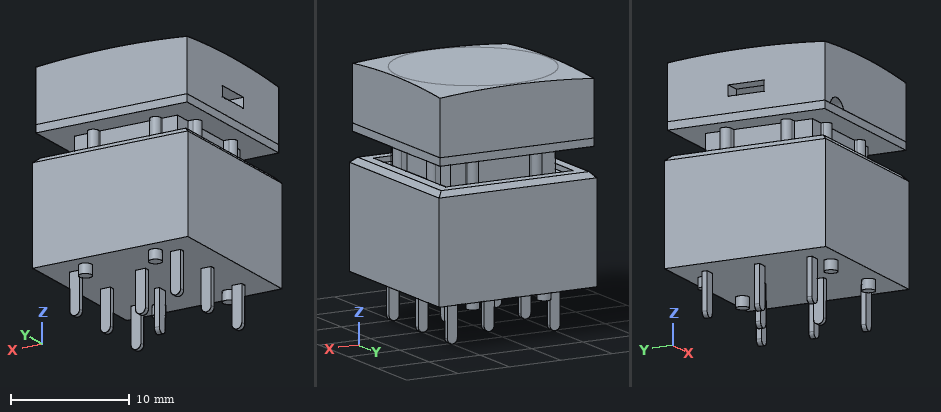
import cadquery as cq
import math

TOTAL_HEIGHT = 22.5
PIN_LENGTH = 4.0
CAP_RIM_Z = TOTAL_HEIGHT - PIN_LENGTH

HOUSING_SIDE = 15.4
HOUSING_HEIGHT = 10.0
HOUSING_CHAMFER = 0.5
WELL_SIDE = 12.4
WELL_DEPTH = 0.5
WELL_FLOOR_Z = HOUSING_HEIGHT - WELL_DEPTH

PLUNGER_SIDE = 10.2
RIB_WIDTH = 1.0
RIB_SPACING_X = 6.16
RIB_SPACING_Y = 5.8
RIB_SPAN_X = 12.25
RIB_SPAN_Y = 11.7

CAP_SIDE = 15.0
PLATE_THICKNESS = 0.75
CAP_HEIGHT = 5.55
PLATE_TOP_Z = CAP_RIM_Z - CAP_HEIGHT
PLATE_BOTTOM_Z = PLATE_TOP_Z - PLATE_THICKNESS

CAP_WALL = 1.5
CAP_ROOF = 1.5
DISH_RADIUS = 7.2
DOME_RADIUS = 81.0
SLOT_WIDTH = 3.4
SLOT_HEIGHT = 1.0
SLOT_BOTTOM = 1.5
NOTCH_X = -5.26
NOTCH_HEIGHT = 0.76
NOTCH_WIDTH = 2.48

PIN_WIDTH = 1.0
PIN_THICKNESS = 0.5
CONTACT_PITCH_X = 10.0
CONTACT_PITCH_Y = 5.0
LAMP_PIN_Y = 2.5
TURNED_LAMP_PIN_X = 1.25
PEG_DIAMETER = 1.2
PEG_LENGTH = 0.95
PEG_SPACING_X = 6.93
PEG_SPACING_Y = 12.02


def block(size_x, size_y, bottom_z, top_z):
    """Box centred on the Z axis between two heights."""
    height = top_z - bottom_z
    return cq.Workplane("XY").workplane(offset=bottom_z).rect(size_x, size_y).extrude(height)


def make_pin(x, y, angle=0):
    """Flat terminal with a round tip; its wide face points along Y before turning by angle."""
    half = PIN_WIDTH / 2
    shoulder_z = half - PIN_LENGTH
    blade = (
        cq.Workplane("XZ")
        .moveTo(-half, 0)
        .lineTo(-half, shoulder_z)
        .threePointArc((0, -PIN_LENGTH), (half, shoulder_z))
        .lineTo(half, 0)
        .close()
        .extrude(PIN_THICKNESS / 2, both=True)
    )
    return blade.rotate((0, 0, 0), (0, 0, 1), angle).translate((x, y, 0))


def make_housing_shell():
    """Square housing with a chamfered upper edge and a shallow square well."""
    shell = block(HOUSING_SIDE, HOUSING_SIDE, 0, HOUSING_HEIGHT)
    shell = shell.faces(">Z").chamfer(HOUSING_CHAMFER)
    return shell.cut(block(WELL_SIDE, WELL_SIDE, WELL_FLOOR_Z, HOUSING_HEIGHT))


def make_plunger():
    """Square stem with two round-ended ribs on each face, topped by the plate."""
    rise = PLATE_BOTTOM_Z - WELL_FLOOR_Z
    floor = cq.Workplane("XY").workplane(offset=WELL_FLOOR_Z)
    ribs_along_y = (
        floor.pushPoints([(side * RIB_SPACING_X / 2, 0) for side in (-1, 1)])
        .slot2D(RIB_SPAN_Y, RIB_WIDTH, 90)
        .extrude(rise)
    )
    ribs_along_x = (
        floor.pushPoints([(0, side * RIB_SPACING_Y / 2) for side in (-1, 1)])
        .slot2D(RIB_SPAN_X, RIB_WIDTH)
        .extrude(rise)
    )
    stem = block(PLUNGER_SIDE, PLUNGER_SIDE, WELL_FLOOR_Z, PLATE_BOTTOM_Z)
    plate = block(CAP_SIDE, CAP_SIDE, PLATE_BOTTOM_Z, PLATE_TOP_Z)
    return stem.union(ribs_along_y).union(ribs_along_x).union(plate)


def make_pegs():
    """Short round locating pegs at the corners of a rectangle."""
    return (
        cq.Workplane("XY")
        .rect(PEG_SPACING_X, PEG_SPACING_Y, forConstruction=True)
        .vertices()
        .circle(PEG_DIAMETER / 2)
        .extrude(-PEG_LENGTH)
    )


def make_switch():
    """Housing, plunger, terminals and pegs as one body."""
    switch = make_housing_shell().union(make_plunger()).union(make_pegs())
    for column in (-1, 1):
        for row in (-1, 0, 1):
            switch = switch.union(make_pin(column * CONTACT_PITCH_X / 2, row * CONTACT_PITCH_Y))
    switch = switch.union(make_pin(0, LAMP_PIN_Y))
    return switch.union(make_pin(TURNED_LAMP_PIN_X, -LAMP_PIN_Y, angle=90))


def make_notch():
    """Prying notch with an arched outline, through the front wall."""
    half = NOTCH_WIDTH / 2
    return (
        cq.Workplane("XZ", origin=(NOTCH_X, -CAP_SIDE / 2, PLATE_TOP_Z))
        .moveTo(-half, 0)
        .threePointArc((0, NOTCH_HEIGHT), (half, 0))
        .close()
        .extrude(-CAP_WALL)
    )


def make_cap():
    """Hollow square cap with a domed top, a round dish, a side slot and a prying notch."""
    centre_offset = math.sqrt(DOME_RADIUS**2 - DISH_RADIUS**2)
    cap = block(CAP_SIDE, CAP_SIDE, PLATE_TOP_Z, CAP_RIM_Z)
    dome = cq.Workplane("XY").sphere(DOME_RADIUS).translate((0, 0, CAP_RIM_Z - centre_offset))
    cap = cap.intersect(dome)
    dish = cq.Workplane("XY").sphere(DOME_RADIUS).translate((0, 0, CAP_RIM_Z + centre_offset))
    cap = cap.cut(dish)

    cavity_side = CAP_SIDE - 2 * CAP_WALL
    cap = cap.cut(block(cavity_side, cavity_side, PLATE_TOP_Z, CAP_RIM_Z - CAP_ROOF))

    slot = cq.Workplane("XY").box(CAP_WALL, SLOT_WIDTH, SLOT_HEIGHT, centered=(False, True, False))
    cap = cap.cut(slot.translate((-CAP_SIDE / 2, 0, PLATE_TOP_Z + SLOT_BOTTOM)))
    return cap.cut(make_notch())


switch = make_switch()
cap = make_cap()
result = cq.Compound.makeCompound([switch.solids().val(), cap.solids().val()])